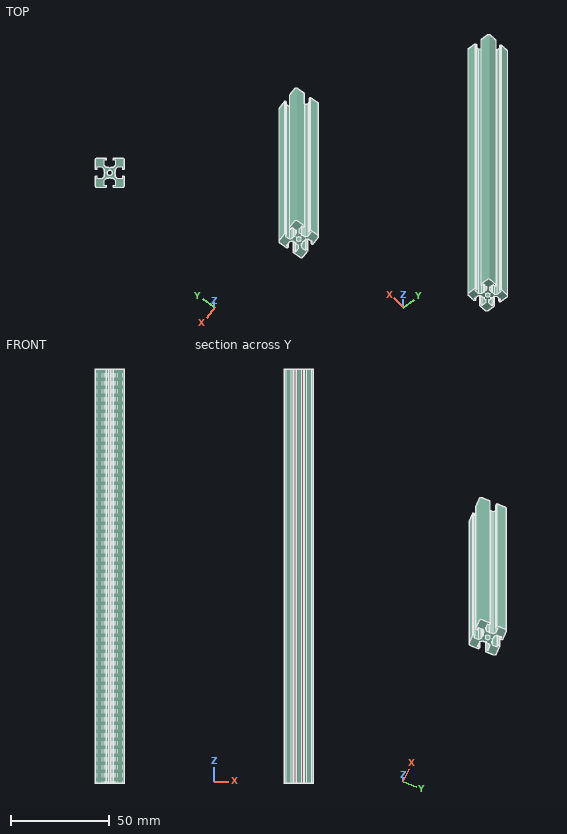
import cadquery as cq

length = 210.0
width = 15.0
corner_radius = 1.0

opening_width = 3.4
cavity_width = 5.7
lip_thickness = 1.0
lip_chamfer = 0.32

core_width = 5.7
web_thickness = 1.5
bore_diameter = 2.5

groove_width = 1.0
groove_depth = 0.5

half_width = width / 2
half_opening = opening_width / 2
half_cavity = cavity_width / 2
half_core = core_width / 2
half_groove = groove_width / 2
lip_inner = half_width - lip_thickness

web_offset = web_thickness / 2**0.5


def slot_cutter(angle):
    """T-slot opening on the +Y side, turned about Z by the given angle."""
    right_side = [
        (half_groove, half_core),
        (half_core - web_offset, half_core),
        (half_cavity, half_cavity + web_offset),
        (half_cavity, lip_inner),
        (half_opening, lip_inner),
        (half_opening, half_width - lip_chamfer),
        (half_opening + lip_chamfer, half_width),
    ]
    left_side = [(-x, y) for x, y in reversed(right_side)]
    groove_bottom = (0, half_core - groove_depth)
    outline = [groove_bottom] + right_side + left_side
    cutter = cq.Workplane("XY").polyline(outline).close().extrude(length)
    return cutter.rotate((0, 0, 0), (0, 0, 1), angle)


result = cq.Workplane("XY").rect(width, width).extrude(length).edges("|Z").fillet(corner_radius)

for side in range(4):
    result = result.cut(slot_cutter(side * 90))

result = result.cut(cq.Workplane("XY").circle(bore_diameter / 2).extrude(length))